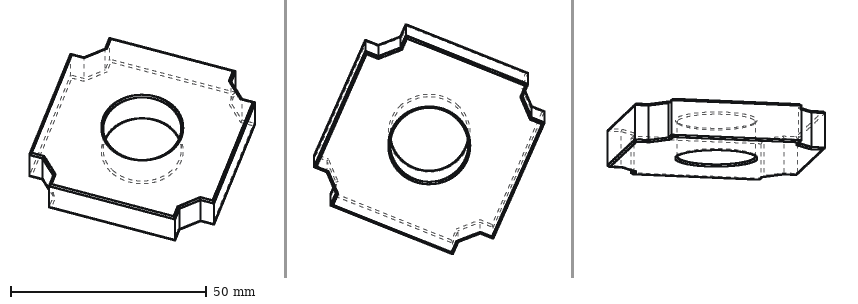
import cadquery as cq

side = 49.8
thickness = 10.0
arm_half_width = 17.0
notch_wall_end = 21.3
hole_diameter = 20.0
edge_chamfer = 0.5

half_side = side / 2

notch = [
    (half_side, arm_half_width),
    (notch_wall_end, arm_half_width),
    (arm_half_width, notch_wall_end),
    (arm_half_width, half_side),
]


def quarter_turn(points, turns):
    """Rotate points counterclockwise about the origin by whole quarter turns."""
    for _ in range(turns):
        points = [(-y, x) for x, y in points]
    return points


outline = [point for turns in range(4) for point in quarter_turn(notch, turns)]
plate = cq.Workplane("XY").polyline(outline).close().extrude(thickness)

plate = plate.faces(">Z").workplane(centerOption="ProjectedOrigin").hole(hole_diameter)

result = plate.faces("<Z or >Z").edges().chamfer(edge_chamfer)